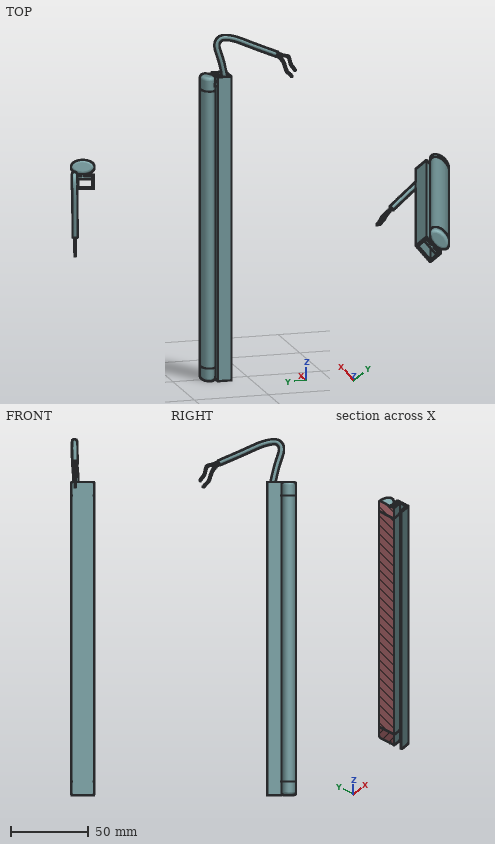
import cadquery as cq
import math


length = 203.2
channel_width = 14.5
channel_depth = 9.25
wall = 1.1
slot_width = 3.2

lamp_width = 15.51
lamp_depth = 9.7
cap_length = 9.0
cap_edge_radius = 2.0
neck_width = 2.2
neck_root = 0.3
rail_depth = 3.0
rail_clearance = 0.1
lamp_centre_y = lamp_depth / 2
flange_width = channel_width - 2 * (wall + rail_clearance)
flange_thickness = rail_depth - wall

cable_diameter = 3.5
cable_clearance = 0.05
cable_exit_x = -channel_width / 2 + wall + cable_clearance + cable_diameter / 2
cable_exit_z = length - 4.9
cable_start_y = 3.0
bend_radius = 2.75
bend_angle = math.radians(105)
bend_start_y = -rail_depth - cable_clearance
cable_waypoints = [
    (-4.9, -3.5, 8.0),
    (-5.4, -0.7, 16.9),
    (-5.4, -0.1, 22.9),
    (-5.4, -2.5, 25.6),
    (-5.3, -5.6, 25.9),
    (-5.1, -20.5, 20.9),
    (-4.9, -40.4, 12.2),
]

insulation_diameter = 1.2
conductor_diameter = 0.95
wire_x = -5.0
wire_spacing = 1.4
cable_end_slope = math.radians(23.5)
upper_insulation = [(-45.1, 11.0), (-47.9, 10.2), (-49.2, 6.9), (-49.9, 4.6)]
upper_conductor = [(-51.3, 2.7), (-52.77, 0.6)]
lower_insulation = [(-43.3, 8.9), (-44.7, 6.9), (-45.8, 4.1), (-47.2, 0.3)]
lower_conductor = [(-48.9, -1.5), (-50.6, -3.5)]


def lamp_bar(bottom, height):
    """Elliptical bar outlined by four quarter arcs."""
    half_width = lamp_width / 2
    half_depth = lamp_depth / 2
    outline = cq.Workplane("XY", origin=(0, lamp_centre_y, bottom)).moveTo(half_width, 0)
    for start_angle in (0, 90, 180, 270):
        outline = outline.ellipseArc(
            half_width, half_depth, start_angle, start_angle + 90, startAtCurrent=True
        )
    return outline.close().extrude(height)


def rail(bottom, height):
    """Neck through the channel slot, with a flange behind the channel's back wall."""
    neck_length = neck_root + rail_depth
    neck = (
        cq.Workplane("XY", origin=(0, neck_root - neck_length / 2, bottom))
        .rect(neck_width, neck_length)
        .extrude(height)
    )
    flange = (
        cq.Workplane("XY", origin=(0, -wall - flange_thickness / 2, bottom))
        .rect(flange_width, flange_thickness)
        .extrude(height)
    )
    return neck.union(flange)


def end_cap(bottom, end_face):
    """Lamp end with a rounded outer rim."""
    bar = lamp_bar(bottom, cap_length).faces(end_face).edges().fillet(cap_edge_radius)
    return bar.union(rail(bottom, cap_length))


def at_height(x, y, height):
    return cq.Vector(x, y, length + height)


def round_sweep(path, start, direction, diameter):
    """Round rod of the given diameter along a path."""
    section = cq.Wire.makeCircle(diameter / 2, start, direction)
    return cq.Workplane(cq.Solid.sweep(section, [], path))


def cable_hole():
    """Straight bore along Y that the cable fills in the cap and the channel wall."""
    return (
        cq.Workplane("XZ", origin=(cable_exit_x, cable_start_y, cable_exit_z))
        .circle(cable_diameter / 2)
        .extrude(cable_start_y - bend_start_y)
    )


def make_channel():
    outer = cq.Workplane("XY").rect(channel_width, channel_depth).extrude(length)
    bore = cq.Workplane("XY").rect(channel_width - 2 * wall, channel_depth - 2 * wall).extrude(length)
    slot = (
        cq.Workplane("XY", origin=(0, channel_depth / 2 - wall / 2, 0))
        .rect(slot_width, wall)
        .extrude(length)
    )
    tube = outer.cut(bore).cut(slot).translate((0, -channel_depth / 2, 0))
    return tube.cut(cable_hole())


def make_lamp():
    lamp_length = length - 2 * cap_length
    return lamp_bar(cap_length, lamp_length).union(rail(cap_length, lamp_length))


def make_cable():
    def bend_point(angle):
        return cq.Vector(
            cable_exit_x,
            bend_start_y - bend_radius * math.sin(angle),
            cable_exit_z + bend_radius * (1 - math.cos(angle)),
        )

    start = cq.Vector(cable_exit_x, cable_start_y, cable_exit_z)
    outward = cq.Vector(0, -1, 0)
    bend_end = bend_point(bend_angle)
    bend_end_direction = cq.Vector(0, -math.cos(bend_angle), math.sin(bend_angle))
    free_points = [bend_end] + [at_height(*point) for point in cable_waypoints]
    path = cq.Wire.assembleEdges(
        [
            cq.Edge.makeLine(start, bend_point(0)),
            cq.Edge.makeThreePointArc(bend_point(0), bend_point(bend_angle / 2), bend_end),
            cq.Edge.makeSpline(free_points, [bend_end_direction, cable_end_direction]),
        ]
    )
    return round_sweep(path, start, outward, cable_diameter)


def make_wire(side, insulation_waypoints, conductor_waypoints):
    """Wire leaving the cable end above (side = 1) or below (side = -1) the cable's axis."""
    offset = side * wire_spacing / 2
    start = at_height(*cable_waypoints[-1]) + cq.Vector(
        wire_x - cable_waypoints[-1][0],
        -offset * math.sin(cable_end_slope),
        offset * math.cos(cable_end_slope),
    )
    insulation_points = [start] + [at_height(wire_x, y, h) for y, h in insulation_waypoints]
    joint = insulation_points[-1]
    conductor_points = [joint] + [at_height(wire_x, y, h) for y, h in conductor_waypoints]
    joint_direction = (conductor_points[1] - insulation_points[-2]).normalized()
    tip_direction = (conductor_points[-1] - conductor_points[-2]).normalized()
    insulation_path = cq.Wire.assembleEdges(
        [cq.Edge.makeSpline(insulation_points, [cable_end_direction, joint_direction])]
    )
    conductor_path = cq.Wire.assembleEdges(
        [cq.Edge.makeSpline(conductor_points, [joint_direction, tip_direction])]
    )
    insulation = round_sweep(insulation_path, start, cable_end_direction, insulation_diameter)
    conductor = round_sweep(conductor_path, joint, joint_direction, conductor_diameter)
    return insulation.union(conductor)


cable_end_direction = cq.Vector(0, -math.cos(cable_end_slope), -math.sin(cable_end_slope))

channel = make_channel()
lamp = make_lamp()
bottom_cap = end_cap(0, "<Z")
top_cap = end_cap(length - cap_length, ">Z").cut(cable_hole())
cable = make_cable()
upper_wire = make_wire(1, upper_insulation, upper_conductor)
lower_wire = make_wire(-1, lower_insulation, lower_conductor)

bodies = [channel, lamp, bottom_cap, top_cap, cable, upper_wire, lower_wire]
result = cq.Compound.makeCompound([body.solids().val() for body in bodies])